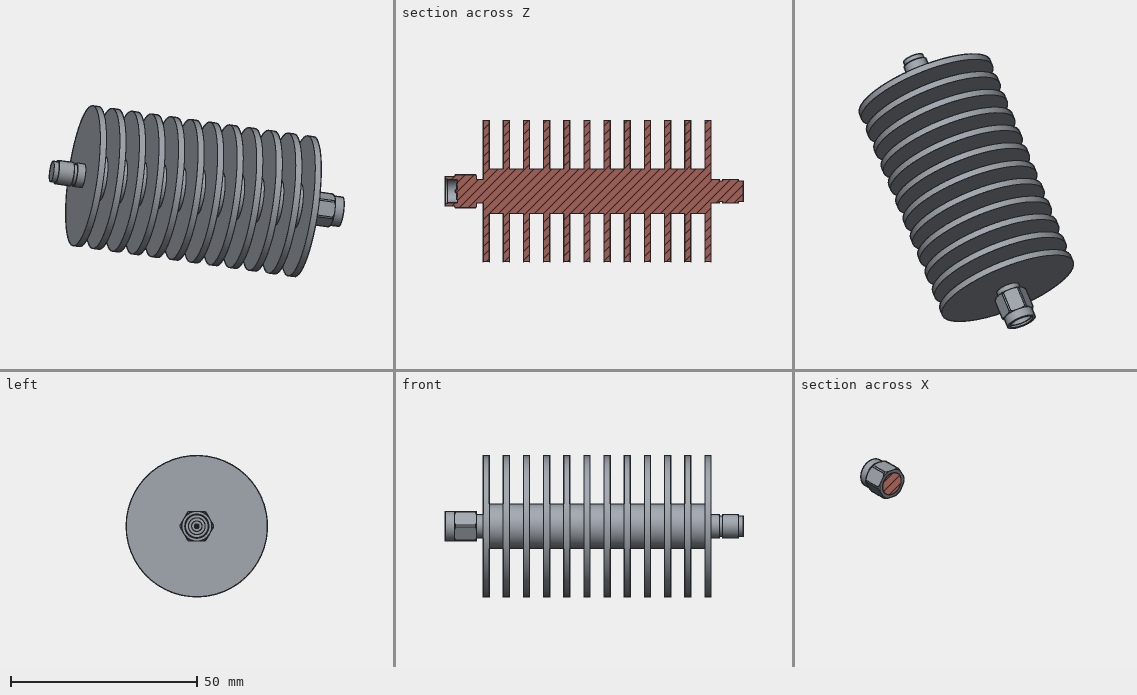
import cadquery as cq

total_length = 80.0
x_start = -total_length / 2

fin_diameter = 38.0
fin_thickness = 1.7
fin_count = 12
fin_pitch = 5.41
core_diameter = 12.0
sink_length = (fin_count - 1) * fin_pitch + fin_thickness

sleeve_diameter = 8.0
sleeve_length = 2.45
hex_across_flats = 8.0
hex_corner_diameter = 8.96
hex_length = 6.0
hex_turn = 30.0
hex_chamfer = 0.35
neck_diameter = 6.4
neck_length = 1.7
x_hex = x_start + sleeve_length
x_hex_end = x_hex + hex_length
x_sink = x_hex_end + neck_length
x_sink_end = x_sink + sink_length

bore_diameter = 6.1
bore_depth = 3.3
lead_in_diameter = 6.5
lead_in_depth = 0.6
contact_ring_diameter = 4.5
contact_ring_bore = 2.8
contact_ring_length = 0.2
shoulder_diameter = 1.3
shoulder_length = 0.2
pin_diameter = 0.9
pin_length = 0.6
pin_chamfer = 0.25

barrel_diameter = 6.4
jack_step_diameter = 5.6
collar_length = 2.2
groove_length = 0.9
tip_length = 1.35
x_collar_end = x_sink_end + collar_length
x_barrel = x_collar_end + groove_length
x_end = x_start + total_length
x_tip = x_end - tip_length


def cylinder(x_from, x_to, diameter):
    """Solid cylinder on the X axis between two positions."""
    return cq.Workplane("YZ", origin=(x_from, 0, 0)).circle(diameter / 2).extrude(x_to - x_from)


def make_heat_sink():
    """Core with disc fins, the end fins flush with the ends of the core."""
    sink = cylinder(x_sink, x_sink_end, core_diameter)
    for index in range(fin_count):
        x_fin = x_sink + index * fin_pitch
        sink = sink.union(cylinder(x_fin, x_fin + fin_thickness, fin_diameter))
    return sink


def make_hexagon():
    """Hexagon with two corners on the Y axis, its corners turned down and chamfered at both ends."""
    prism = (
        cq.Workplane("YZ", origin=(x_hex, 0, 0))
        .polygon(6, hex_across_flats, circumscribed=True)
        .extrude(hex_length)
        .rotate((0, 0, 0), (1, 0, 0), hex_turn)
    )
    envelope = cylinder(x_hex, x_hex_end, hex_corner_diameter).faces("<X or >X").chamfer(hex_chamfer)
    return prism.intersect(envelope)


def make_plug():
    """Hollow coupling nut, its contacts and the neck joining it to the heat sink."""
    x_floor = x_start + bore_depth
    bore = cylinder(x_start, x_floor, bore_diameter)
    x_ring = x_floor - contact_ring_length
    ring = cylinder(x_ring, x_floor, contact_ring_diameter)
    ring = ring.cut(cylinder(x_ring, x_floor, contact_ring_bore))
    pin = cylinder(x_floor - pin_length, x_floor, pin_diameter).faces("<X").chamfer(pin_chamfer)
    shoulder = cylinder(x_floor - shoulder_length, x_floor, shoulder_diameter)

    nut = cylinder(x_start, x_hex, sleeve_diameter).union(make_hexagon()).cut(bore)
    nut = nut.cut(cylinder(x_start, x_start + lead_in_depth, lead_in_diameter))
    neck = cylinder(x_hex_end, x_sink, neck_diameter)
    return nut.union(neck).union(ring).union(shoulder).union(pin)


def make_jack():
    """Grooved, stepped cylinder on the far end of the heat sink."""
    collar = cylinder(x_sink_end, x_collar_end, barrel_diameter)
    groove_core = cylinder(x_sink_end, x_tip, jack_step_diameter)
    barrel = cylinder(x_barrel, x_tip, barrel_diameter)
    tip = cylinder(x_tip, x_end, jack_step_diameter)
    return collar.union(groove_core).union(barrel).union(tip)


result = make_heat_sink().union(make_plug()).union(make_jack())